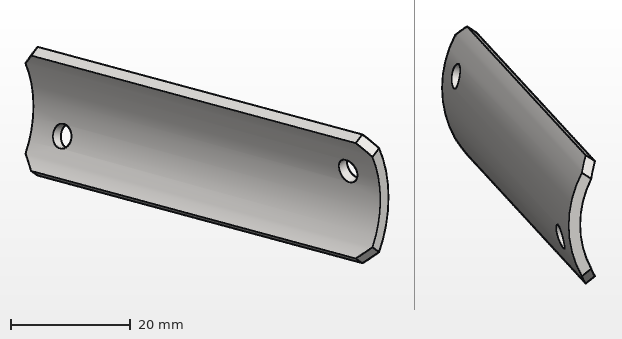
import cadquery as cq
import math

length = 80.0
height = 22.4
outer_radius = 19.0
thickness = 2.0
corner_chamfer = 2.6
hole_diameter = 4.2
hole_x = 33.0
hole_angle = math.radians(12.5)

inner_radius = outer_radius - thickness
half_angle = math.asin(height / 2 / outer_radius)


def arc_point(radius, angle):
    """Return (y, z) on an arc about the X axis, with the angle measured from +Y."""
    return radius * math.cos(angle), radius * math.sin(angle)


def curved_plate():
    return (
        cq.Workplane("YZ", origin=(-length / 2, 0, 0))
        .moveTo(*arc_point(outer_radius, -half_angle))
        .threePointArc((outer_radius, 0), arc_point(outer_radius, half_angle))
        .lineTo(*arc_point(inner_radius, half_angle))
        .threePointArc((inner_radius, 0), arc_point(inner_radius, -half_angle))
        .close()
        .extrude(length)
    )


def chamfer_corners(plate):
    corner_edges = plate.edges("%LINE").edges("not |X")
    return corner_edges.chamfer(corner_chamfer)


def hole_cutter(x, angle):
    """Return a radial cutter that crosses the shell at the given angle from +Y."""
    direction = cq.Vector(0, *arc_point(1, angle))
    axis_point = cq.Vector(x, 0, 0)
    return cq.Solid.makeCylinder(hole_diameter / 2, 2 * outer_radius, axis_point, direction)


result = chamfer_corners(curved_plate())

for side in (-1, 1):
    result = result.cut(cq.Workplane(hole_cutter(side * hole_x, side * hole_angle)))